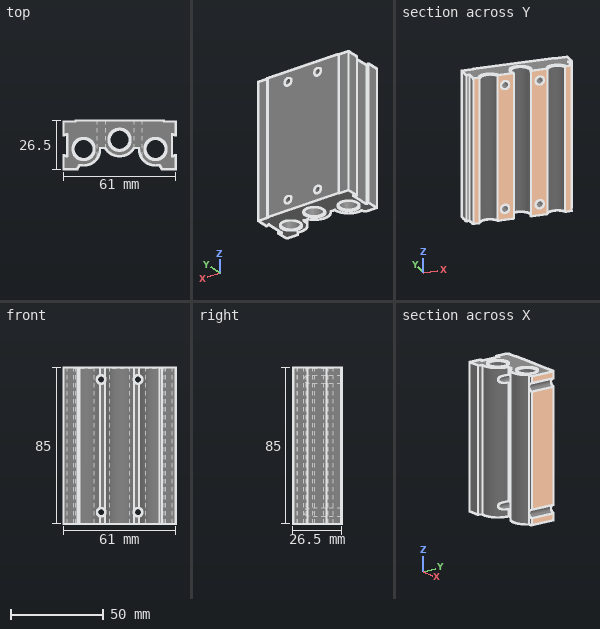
import cadquery as cq
import math

length = 85.0
width = 61.0
body_depth = 26.0
half_width = width / 2

pad_width = 48.0
pad_height = 0.5

bore_diameter = 11.0
bore_chamfer = 0.5
lobe_radius = 9.0
side_bore_x = 19.5
side_bore_y = 11.0
middle_bore_y = 16.0
web_y = 11.5

foot_inner_x = 22.95
foot_bevel_from_vertical = 30.0

groove_depth = 2.0
groove_mouth = 10.4
groove_floor = 12.0
groove_y = body_depth / 2

cross_hole_diameter = 4.5
cross_hole_x = 10.0
cross_hole_end_distance = 6.5


def lobe_half_chord(distance):
    """Half width of a lobe circle at a given distance from its centre."""
    return math.sqrt(lobe_radius**2 - distance**2)


def bevel_top():
    """Point where the foot bevel, rising inward, meets the side lobe."""
    angle = math.radians(foot_bevel_from_vertical)
    step_x = -math.sin(angle)
    step_y = math.cos(angle)
    offset_x = foot_inner_x - side_bore_x
    offset_y = -side_bore_y
    along = offset_x * step_x + offset_y * step_y
    across_squared = offset_x**2 + offset_y**2 - along**2
    travel = -along - math.sqrt(lobe_radius**2 - across_squared)
    return foot_inner_x + travel * step_x, travel * step_y


def make_body():
    """Extrude the outer profile, without the side grooves."""
    bevel_x, bevel_y = bevel_top()
    web_outer_x = side_bore_x - lobe_half_chord(web_y - side_bore_y)
    web_inner_x = lobe_half_chord(middle_bore_y - web_y)
    diagonal = lobe_radius * math.sqrt(0.5)
    lobe_mid_x = side_bore_x - diagonal
    lobe_mid_y = side_bore_y - diagonal
    profile = (
        cq.Workplane("XY")
        .moveTo(-half_width, 0)
        .lineTo(-foot_inner_x, 0)
        .lineTo(-bevel_x, bevel_y)
        .threePointArc((-lobe_mid_x, lobe_mid_y), (-web_outer_x, web_y))
        .lineTo(-web_inner_x, web_y)
        .threePointArc((0, middle_bore_y - lobe_radius), (web_inner_x, web_y))
        .lineTo(web_outer_x, web_y)
        .threePointArc((lobe_mid_x, lobe_mid_y), (bevel_x, bevel_y))
        .lineTo(foot_inner_x, 0)
        .lineTo(half_width, 0)
        .lineTo(half_width, body_depth)
        .lineTo(pad_width / 2, body_depth)
        .lineTo(pad_width / 2, body_depth + pad_height)
        .lineTo(-pad_width / 2, body_depth + pad_height)
        .lineTo(-pad_width / 2, body_depth)
        .lineTo(-half_width, body_depth)
        .close()
    )
    return profile.extrude(length)


def make_groove(side):
    """Undercut groove on the +X (side = 1) or -X (side = -1) face."""
    mouth_x = side * half_width
    floor_x = side * (half_width - groove_depth)
    corners = [
        (mouth_x, groove_y - groove_mouth / 2),
        (floor_x, groove_y - groove_floor / 2),
        (floor_x, groove_y + groove_floor / 2),
        (mouth_x, groove_y + groove_mouth / 2),
    ]
    return cq.Workplane("XY").polyline(corners).close().extrude(length)


def make_bore(x, y):
    """Through bore that widens by the chamfer at both ends."""
    radius = bore_diameter / 2
    mouth_radius = radius + bore_chamfer
    half_section = [
        (0, 0),
        (mouth_radius, 0),
        (radius, bore_chamfer),
        (radius, length - bore_chamfer),
        (mouth_radius, length),
        (0, length),
    ]
    bore = cq.Workplane("XZ").polyline(half_section).close().revolve(360, (0, 0), (0, 1))
    return bore.translate((x, y, 0))


def make_cross_hole(x, z):
    """Hole along Y through the whole depth of the body."""
    depth = body_depth + pad_height
    return cq.Workplane("XZ").center(x, z).circle(cross_hole_diameter / 2).extrude(-depth)


result = make_body()

for side in (-1, 1):
    result = result.cut(make_groove(side))

for bore_x, bore_y in ((-side_bore_x, side_bore_y), (0, middle_bore_y), (side_bore_x, side_bore_y)):
    result = result.cut(make_bore(bore_x, bore_y))

for hole_x in (-cross_hole_x, cross_hole_x):
    for hole_z in (cross_hole_end_distance, length - cross_hole_end_distance):
        result = result.cut(make_cross_hole(hole_x, hole_z))